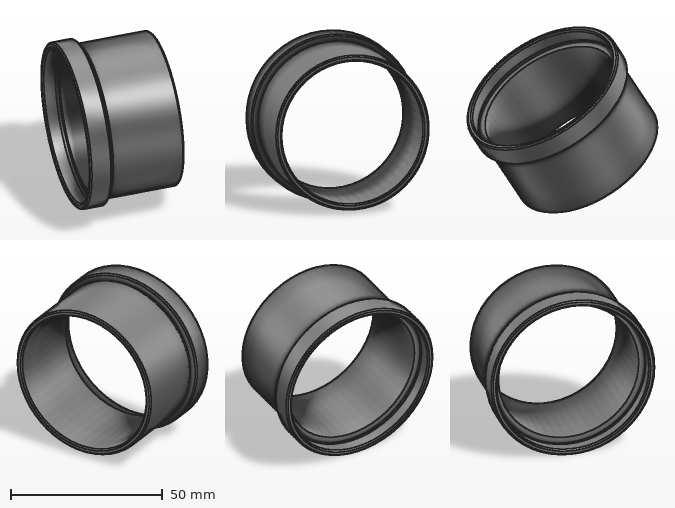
import cadquery as cq

total_length = 32.9
flange_length = 7.5
undercut_width = 1.0

flange_radius = 28.0
body_radius = 26.0
undercut_radial_depth = 0.4
undercut_radius = body_radius - undercut_radial_depth
bore_radius = 24.0

counterbore_radius = body_radius
counterbore_depth = 5.5

relief_radial_depth = 0.1
relief_radius = counterbore_radius + relief_radial_depth
relief_width = 1.0

edge_chamfer = 0.5

flange_face_y = 0.0
shoulder_y = flange_face_y + flange_length
undercut_end_y = shoulder_y + undercut_width
body_end_y = flange_face_y + total_length


def cylinder(radius, start_y, end_y):
    """Solid cylinder along +Y between two stations on the axis."""
    plane = cq.Workplane("XZ", origin=(0, start_y, 0))
    return plane.circle(radius).extrude(start_y - end_y)


def make_outside():
    """Flange, undercut behind its shoulder, and body, with the outer edges chamfered."""
    flange = cylinder(flange_radius, flange_face_y, shoulder_y).edges().chamfer(edge_chamfer)
    undercut = cylinder(undercut_radius, shoulder_y, undercut_end_y)
    body = cylinder(body_radius, undercut_end_y, body_end_y).edges(">Y").chamfer(edge_chamfer)
    return flange.union(undercut).union(body)


def cut_inside(sleeve):
    """Cut the through bore, the counterbore and its relief groove."""
    ledge_y = flange_face_y + counterbore_depth
    bore = cylinder(bore_radius, flange_face_y, body_end_y)
    counterbore = cylinder(counterbore_radius, flange_face_y, ledge_y)
    relief = cylinder(relief_radius, ledge_y - relief_width, ledge_y)
    return sleeve.cut(bore).cut(counterbore).cut(relief)


def chamfer_inner_edge(sleeve, end):
    """Break the inner edge of the end face picked by its axis direction."""
    inner_edge = sleeve.faces(end).edges(cq.selectors.RadiusNthSelector(0))
    return inner_edge.chamfer(edge_chamfer)


result = cut_inside(make_outside())
for end in ("<Y", ">Y"):
    result = chamfer_inner_edge(result, end)